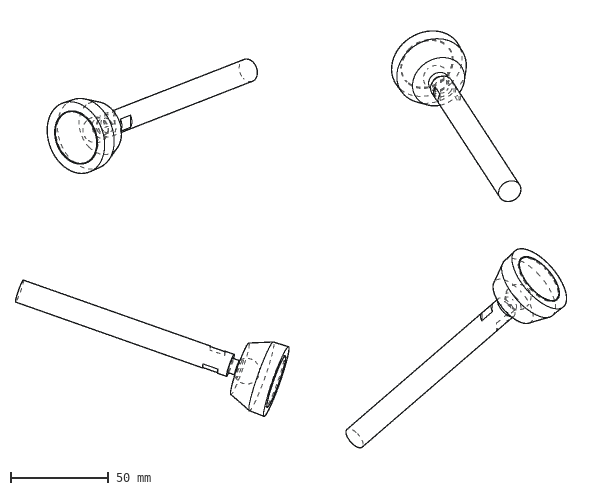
import cadquery as cq
import math

overall_length = 140.0
front_y = -overall_length / 2
back_y = overall_length / 2

foot_base_diameter = 38.0
foot_rim_diameter = 37.4
foot_top_diameter = 28.0
rim_y = front_y + 8.1
foot_top_y = front_y + 19.9

groove_outer_diameter = 28.0
groove_inner_diameter = 27.5
groove_depth = 0.7

rod_diameter = 12.0
neck_diameter = 7.8
rod_start_y = front_y + 25.0

ball_diameter = 13.2
ball_centre_y = foot_top_y - 3.8

flat_start_y = front_y + 30.0
flat_length = 8.1
across_flats = 10.1


def revolve_about_y(points):
    """Revolve a closed (Y, radius) outline about the Y axis."""
    return cq.Workplane("YZ").polyline(points).close().revolve(360, (0, 0, 0), (1, 0, 0))


def make_ball():
    """Ball shared by the end of the stud and the socket in the foot."""
    radius = ball_diameter / 2
    return (
        cq.Workplane("YZ")
        .moveTo(ball_centre_y - radius, 0)
        .threePointArc((ball_centre_y, radius), (ball_centre_y + radius, 0))
        .close()
        .revolve(360, (0, 0, 0), (1, 0, 0))
    )


def make_foot():
    """Tapered foot with a ring groove below and a ball socket."""
    groove_floor_y = front_y + groove_depth
    blank = revolve_about_y([
        (front_y, 0),
        (front_y, groove_inner_diameter / 2),
        (groove_floor_y, groove_inner_diameter / 2),
        (groove_floor_y, groove_outer_diameter / 2),
        (front_y, groove_outer_diameter / 2),
        (front_y, foot_base_diameter / 2),
        (rim_y, foot_rim_diameter / 2),
        (foot_top_y, foot_top_diameter / 2),
        (foot_top_y, 0),
    ])
    return blank.cut(make_ball())


def make_flat_cutters():
    """Blocks on the -X and +X sides that leave the wrench flats."""
    flat_centre_y = flat_start_y + flat_length / 2
    cutter_width = rod_diameter
    cutter_x = (across_flats + cutter_width) / 2
    return (
        cq.Workplane("XY")
        .pushPoints([(-cutter_x, flat_centre_y), (cutter_x, flat_centre_y)])
        .box(cutter_width, flat_length, rod_diameter)
    )


def make_stud():
    """Rod with wrench flats, stepped down to a neck that carries the ball."""
    neck_radius = neck_diameter / 2
    ball_radius = ball_diameter / 2
    neck_end_y = ball_centre_y + math.sqrt(ball_radius**2 - neck_radius**2)
    outline = (
        cq.Workplane("YZ")
        .moveTo(ball_centre_y - ball_radius, 0)
        .threePointArc((ball_centre_y, ball_radius), (neck_end_y, neck_radius))
        .lineTo(rod_start_y, neck_radius)
        .lineTo(rod_start_y, rod_diameter / 2)
        .lineTo(back_y, rod_diameter / 2)
        .lineTo(back_y, 0)
        .close()
    )
    blank = outline.revolve(360, (0, 0, 0), (1, 0, 0))
    return blank.cut(make_flat_cutters()).solids()


foot = make_foot().solids()
stud = make_stud()
result = cq.Compound.makeCompound([foot.val(), stud.val()])